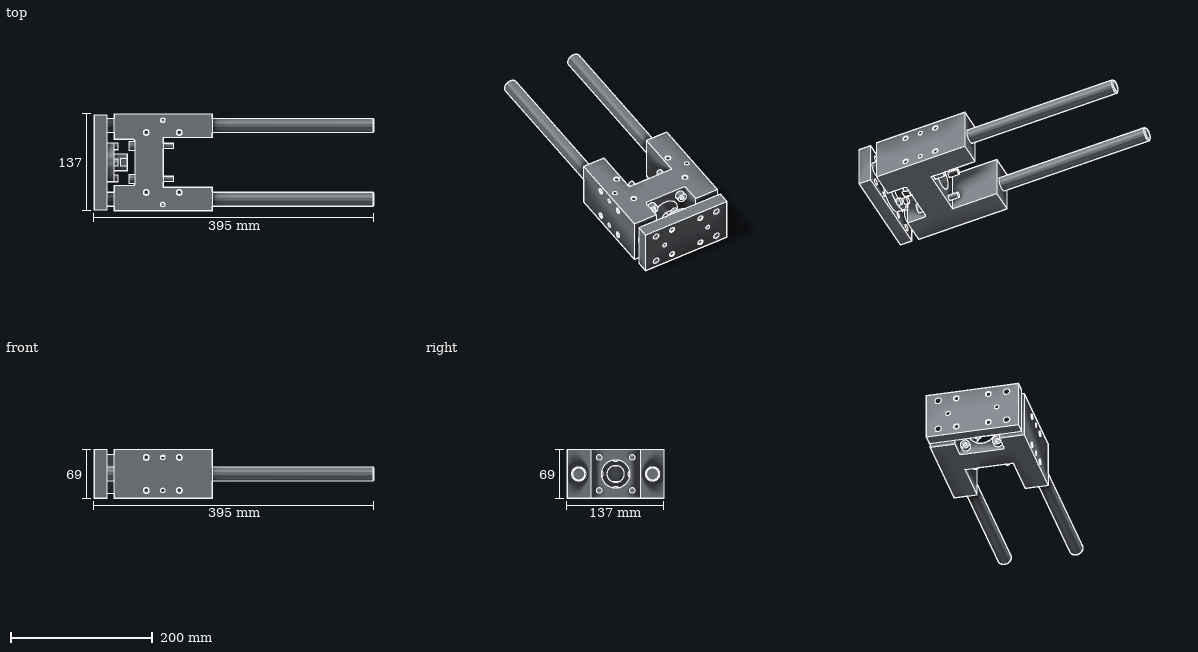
import cadquery as cq
import math

total_length = 395.0
plate_thickness = 18.0
housing_start = 28.0
housing_end = 166.5
height = 69.0

housing_width = 137.0
web_front = 57.3
web_back = 97.5
front_notch_width = 64.8
front_notch_fillet = 2.5
rear_notch_width = 70.0
neck_bore_diameter = 40.0

thread_diameter = 6.7
thread_mouth_diameter = 8.3
drill_point_angle = 118.0

mount_hole_mid_x = 96.8
mount_hole_pitch = 46.5
mount_hole_depth = 15.8
top_hole_y = 42.3
hole_row_z = mount_hole_pitch / 2
pin_hole_diameter = 6.5
pin_hole_depth = 10.0
top_pin_y = 59.2

screw_pitch = 46.5
screw_diameter = 8.0
screw_end = 112.0
screw_head_diameter = 13.0
screw_head_start = 49.0
screw_socket_width = 6.0
screw_socket_depth = 4.0

plate_width = 134.3
corner_hole_diameter = 9.0
corner_hole_y = 49.8
plate_pin_y = 35.5
plate_pin_diameter = 6.5

rod_diameter = 20.0
rod_y = 52.0
rod_chamfer = 1.5

flange_diameter = 55.3
flange_end = housing_start
bolt_circle_radius = 22.5
bolt_head_diameter = 10.0
bolt_head_end = 33.5
boss_diameter = 24.0
boss_end = 46.5
flat_start = 37.0
flat_width = 21.7


def box(x_start, x_end, width):
    """Full-height block between two X positions, centred on the X axis."""
    start = cq.Workplane("XY", origin=(x_start, 0, 0))
    return start.box(x_end - x_start, width, height, centered=(False, True, True))


def cylinders_x(points, x_start, x_end, diameter):
    """Cylinders along X at the given (y, z) points."""
    start = cq.Workplane("YZ", origin=(x_start, 0, 0))
    return start.pushPoints(points).circle(diameter / 2).extrude(x_end - x_start)


def four_points(u, v):
    """The four mirrored copies of a point about both axes."""
    return [(su * u, sv * v) for su in (-1, 1) for sv in (-1, 1)]


centre_point = [(0, 0)]
rod_points = [(-rod_y, 0), (rod_y, 0)]
screw_points = four_points(screw_pitch / 2, screw_pitch / 2)


def make_housing_block():
    block = box(housing_start, housing_end, housing_width)
    front_notch = box(housing_start, web_front, front_notch_width)
    front_notch = front_notch.edges("|Z and >X").fillet(front_notch_fillet)
    rear_notch = box(web_back, housing_end, rear_notch_width)
    rod_bores = cylinders_x(rod_points, housing_start, housing_end, rod_diameter)
    neck_bore = cylinders_x(centre_point, web_front, web_back, neck_bore_diameter)
    return block.cut(front_notch).cut(rear_notch).cut(rod_bores).cut(neck_bore)


def cone(start, direction, base_diameter, tip_diameter, length):
    """Solid cone from a start point, narrowing along the direction."""
    return cq.Solid.makeCone(base_diameter / 2, tip_diameter / 2, length, pnt=start, dir=direction)


def countersink(start, direction):
    """Cutter for the 45 degree mouth of a threaded hole."""
    depth = (thread_mouth_diameter - thread_diameter) / 2
    return cone(start, direction, thread_mouth_diameter, thread_diameter, depth)


def blind_thread(start, direction):
    """Cutter for a blind threaded hole with a drill-point bottom."""
    direction = cq.Vector(*direction)
    start = cq.Vector(*start)
    bottom = start + direction * mount_hole_depth
    point_length = thread_diameter / 2 / math.tan(math.radians(drill_point_angle / 2))
    core = cq.Solid.makeCylinder(thread_diameter / 2, mount_hole_depth, start, direction)
    point = cone(bottom, direction, thread_diameter, 0, point_length)
    return core.fuse(point).fuse(countersink(start, direction))


def pin_hole(start, direction):
    """Cutter for a plain blind pin hole."""
    start = cq.Vector(*start)
    direction = cq.Vector(*direction)
    return cq.Solid.makeCylinder(pin_hole_diameter / 2, pin_hole_depth, start, direction)


def add_top_holes(body):
    down = (0, 0, -1)
    top = height / 2
    for x, y in four_points(mount_hole_pitch / 2, top_hole_y):
        body = body.cut(blind_thread((mount_hole_mid_x + x, y, top), down))
    for y in (-top_pin_y, top_pin_y):
        body = body.cut(pin_hole((mount_hole_mid_x, y, top), down))
    return body


def add_side_holes(body):
    for side in (-1, 1):
        face_y = side * housing_width / 2
        inward = (0, -side, 0)
        for x, z in four_points(mount_hole_pitch / 2, hole_row_z):
            body = body.cut(blind_thread((mount_hole_mid_x + x, face_y, z), inward))
        for z in (-hole_row_z, hole_row_z):
            body = body.cut(pin_hole((mount_hole_mid_x, face_y, z), inward))
    return body


def add_screws(body):
    heads = cylinders_x(screw_points, screw_head_start, web_front, screw_head_diameter)
    shanks = cylinders_x(screw_points, web_front, screw_end, screw_diameter)
    sockets = (
        cq.Workplane("YZ", origin=(screw_head_start, 0, 0))
        .pushPoints(screw_points)
        .polygon(6, screw_socket_width, circumscribed=True)
        .extrude(screw_socket_depth)
    )
    return body.union(heads).union(shanks).cut(sockets)


def make_housing():
    return add_screws(add_side_holes(add_top_holes(make_housing_block())))


def make_plate():
    plate = box(0, plate_thickness, plate_width)
    corner_points = four_points(corner_hole_y, hole_row_z)
    pin_points = [(-plate_pin_y, 0), (plate_pin_y, 0)]
    corner_holes = cylinders_x(corner_points, 0, plate_thickness, corner_hole_diameter)
    threads = cylinders_x(screw_points, 0, plate_thickness, thread_diameter)
    pin_holes = cylinders_x(pin_points, 0, plate_thickness, plate_pin_diameter)
    plate = plate.cut(corner_holes).cut(threads).cut(pin_holes)
    for y, z in screw_points:
        plate = plate.cut(countersink(cq.Vector(0, y, z), cq.Vector(1, 0, 0)))
    return plate


def make_rods():
    rods = cylinders_x(rod_points, plate_thickness, total_length, rod_diameter)
    return rods.faces(">X").chamfer(rod_chamfer)


def make_boss():
    """Round boss whose free end has two wrench flats, facing up and down."""
    boss = cylinders_x(centre_point, flange_end, boss_end, boss_diameter)
    round_part = cylinders_x(centre_point, flange_end, flat_start, boss_diameter)
    end_start = cq.Workplane("XY", origin=(flat_start, 0, 0))
    flat_end = end_start.box(
        boss_end - flat_start, boss_diameter, flat_width, centered=(False, True, True)
    )
    return boss.intersect(flat_end.union(round_part))


def make_coupling():
    r = bolt_circle_radius
    bolt_points = [(r, 0), (-r, 0), (0, r), (0, -r)]
    flange = cylinders_x(centre_point, plate_thickness, flange_end, flange_diameter)
    bolt_heads = cylinders_x(bolt_points, flange_end, bolt_head_end, bolt_head_diameter)
    return flange.union(bolt_heads).union(make_boss())


def make_yoke():
    return make_plate().union(make_rods()).union(make_coupling())


housing = make_housing()
yoke = make_yoke()
result = cq.Compound.makeCompound([housing.val(), yoke.val()])